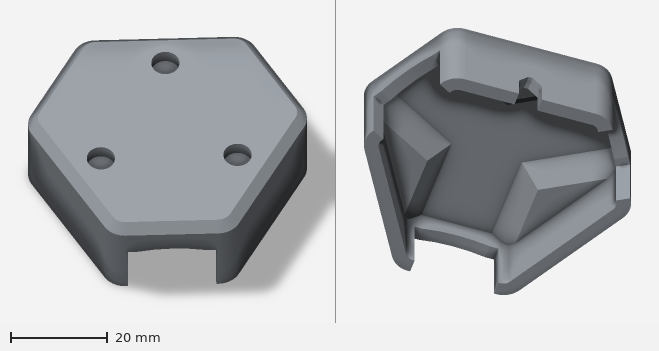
import cadquery as cq
import math

width_across_flats = 51.2
long_side_apothem = 24.25
short_side_apothem = width_across_flats - long_side_apothem
height = 19.0
corner_radius = 4.95
top_chamfer = 2.0

wall = 3.0
inner_corner_radius = corner_radius - wall
pad_bottom_z = 11.65
ceiling_z = height - wall
arm_half_width = 12.05

pocket_circle_radius = 16.3
pocket_diameter = 5.8
pocket_depth = 3.05

opening_width = 18.25
opening_side_height = 11.45
arch_span = 14.4
arch_rise = 0.8

notch_width = 5.0
notch_side_height = 4.4
notch_top_height = 6.45

long_side_angles = (-90, 30, 150)
short_side_angles = (-150, -30, 90)
notch_angle = 150
cutter_overrun = 0.6


def hexagon_prism(inset, prism_height):
    """Sharp-cornered hexagonal prism whose sides lie `inset` inside the outer sides."""
    long_apothem = long_side_apothem - inset
    short_apothem = short_side_apothem - inset
    turn = math.pi / 3
    half_side = (short_apothem - long_apothem * math.cos(turn)) / math.sin(turn)
    corners = []
    for angle in long_side_angles:
        a = math.radians(angle)
        for along in (-half_side, half_side):
            corners.append((
                long_apothem * math.cos(a) - along * math.sin(a),
                long_apothem * math.sin(a) + along * math.cos(a),
            ))
    return cq.Workplane("XY").polyline(corners).close().extrude(prism_height)


def place_at_side(shape, angle):
    """Turn a shape built towards -Y to the side whose outward normal is at `angle`."""
    return shape.rotate((0, 0, 0), (0, 0, 1), angle + 90)


def through_wall(profile, apothem, angle):
    """Cutter with an XZ profile, running through the wall that lies `apothem` from the Z axis."""
    inner_face = apothem - wall - cutter_overrun
    cutter = profile.extrude(wall + 2 * cutter_overrun).translate((0, -inner_face, 0))
    return place_at_side(cutter, angle)


def recess_arm(angle):
    """Trapezoidal channel with 45 degree flanks, from the Z axis to the inside of a short side."""
    ceiling_half_width = arm_half_width - (ceiling_z - pad_bottom_z)
    arm = (
        cq.Workplane("XZ")
        .moveTo(-arm_half_width, pad_bottom_z)
        .lineTo(-ceiling_half_width, ceiling_z)
        .lineTo(ceiling_half_width, ceiling_z)
        .lineTo(arm_half_width, pad_bottom_z)
        .close()
        .extrude(short_side_apothem - wall)
    )
    return place_at_side(arm, angle)


def make_cavity():
    recess = recess_arm(short_side_angles[0])
    for angle in short_side_angles[1:]:
        recess = recess.union(recess_arm(angle))
    inside = hexagon_prism(wall, ceiling_z).edges("|Z").fillet(inner_corner_radius)
    lower_room = hexagon_prism(0, pad_bottom_z)
    return inside.intersect(lower_room.union(recess))


def make_pocket(angle):
    pocket = cq.Workplane("XY").workplane(offset=height - pocket_depth).center(0, -pocket_circle_radius)
    return place_at_side(pocket.circle(pocket_diameter / 2).extrude(pocket_depth), angle)


def opening_profile():
    half_width = opening_width / 2
    half_span = arch_span / 2
    return (
        cq.Workplane("XZ")
        .moveTo(-half_width, 0)
        .lineTo(-half_width, opening_side_height)
        .lineTo(-half_span, opening_side_height)
        .threePointArc((0, opening_side_height + arch_rise), (half_span, opening_side_height))
        .lineTo(half_width, opening_side_height)
        .lineTo(half_width, 0)
        .close()
    )


def notch_profile():
    half_width = notch_width / 2
    top_half_width = half_width - (notch_top_height - notch_side_height)
    return (
        cq.Workplane("XZ")
        .moveTo(-half_width, 0)
        .lineTo(-half_width, notch_side_height)
        .lineTo(-top_half_width, notch_top_height)
        .lineTo(top_half_width, notch_top_height)
        .lineTo(half_width, notch_side_height)
        .lineTo(half_width, 0)
        .close()
    )


body = hexagon_prism(0, height).edges("|Z").fillet(corner_radius)
body = body.faces(">Z").chamfer(top_chamfer)
body = body.cut(make_cavity())

for angle in long_side_angles:
    body = body.cut(make_pocket(angle))

for angle in short_side_angles:
    body = body.cut(through_wall(opening_profile(), short_side_apothem, angle))

result = body.cut(through_wall(notch_profile(), long_side_apothem, notch_angle))